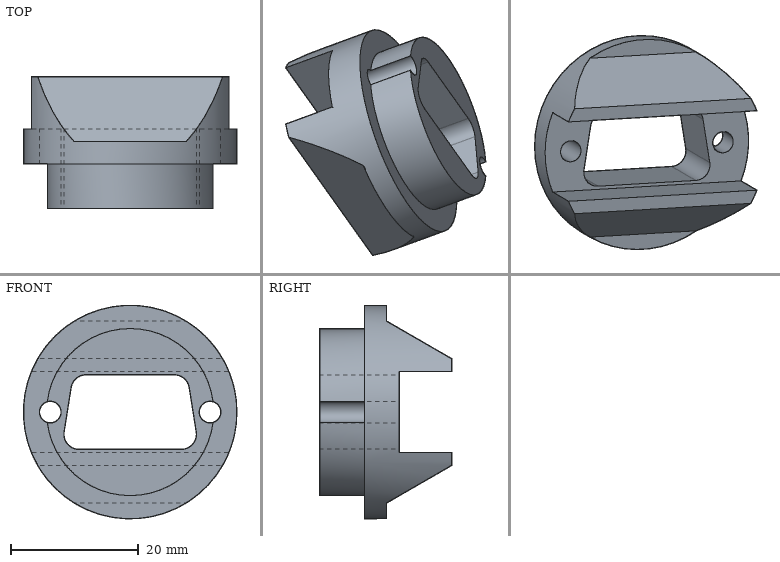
import cadquery as cq
import math

outer_radius = 16.7
spigot_radius = 13.05
spigot_length = 6.98
flange_thickness = 3.47
body_depth = 13.65

slot_height = 12.63
slot_floor = 5.48

prong_tip_height = 8.35
slope_angle = 30.0

hole_radius = 1.67
hole_offset = 12.5

window_height = 11.62
window_mid_width = 19.65
window_side_angle = 9.0
window_corner_radius = 2.35


def cylinder_along_y(radius, start, end, x=0):
    """Cylinder parallel to Y between two Y positions."""
    return cq.Workplane("XZ", origin=(x, start, 0)).circle(radius).extrude(start - end)


def prong_bevel():
    """Wedge removed from above the upper prong, behind the flange."""
    slope_rise = (body_depth - flange_thickness) * math.tan(math.radians(slope_angle))
    profile = [
        (flange_thickness, prong_tip_height + slope_rise),
        (body_depth, prong_tip_height),
        (body_depth, outer_radius),
        (flange_thickness, outer_radius),
    ]
    return cq.Workplane("YZ").polyline(profile).close().extrude(outer_radius, both=True)


def cross_slot():
    """Slot across the full width, open at the rear."""
    depth = body_depth - slot_floor
    return cq.Workplane("XY").box(2 * outer_radius, depth, slot_height).translate(
        (0, slot_floor + depth / 2, 0)
    )


def connector_window():
    """Rounded trapezoid through the whole part, wider at the bottom."""
    half_height = window_height / 2
    taper = half_height * math.tan(math.radians(window_side_angle))
    top_half_width = window_mid_width / 2 - taper
    bottom_half_width = window_mid_width / 2 + taper
    outline = [
        (-bottom_half_width, -half_height),
        (bottom_half_width, -half_height),
        (top_half_width, half_height),
        (-top_half_width, half_height),
    ]
    return (
        cq.Workplane("XZ", origin=(0, body_depth, 0))
        .polyline(outline)
        .close()
        .extrude(body_depth + spigot_length)
        .edges("|Y")
        .fillet(window_corner_radius)
    )


body = cylinder_along_y(outer_radius, 0, body_depth)
body = body.union(cylinder_along_y(spigot_radius, -spigot_length, 0))

bevel = prong_bevel()
body = body.cut(bevel).cut(bevel.mirror("XY"))
body = body.cut(cross_slot())
body = body.cut(connector_window())

for hole_x in (-hole_offset, hole_offset):
    body = body.cut(cylinder_along_y(hole_radius, -spigot_length, body_depth, hole_x))

result = body